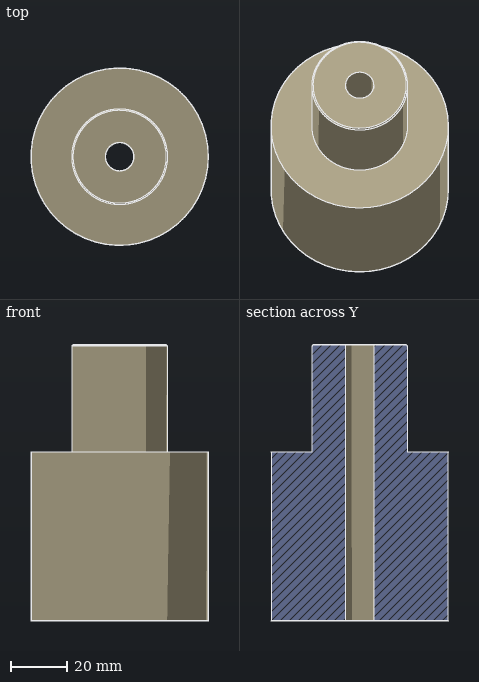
import cadquery as cq

total_height = 98.0
base_diameter = 63.0
base_height = 60.0
shank_diameter = 34.0
bore_diameter = 10.0
shank_chamfer = 0.5

shank_height = total_height - base_height

base = cq.Workplane("XY").circle(base_diameter / 2).extrude(base_height)

shank = (
    cq.Workplane("XY")
    .workplane(offset=base_height)
    .circle(shank_diameter / 2)
    .extrude(shank_height)
    .faces(">Z")
    .edges()
    .chamfer(shank_chamfer)
)

bore = cq.Workplane("XY").circle(bore_diameter / 2).extrude(total_height)

result = base.union(shank).cut(bore)